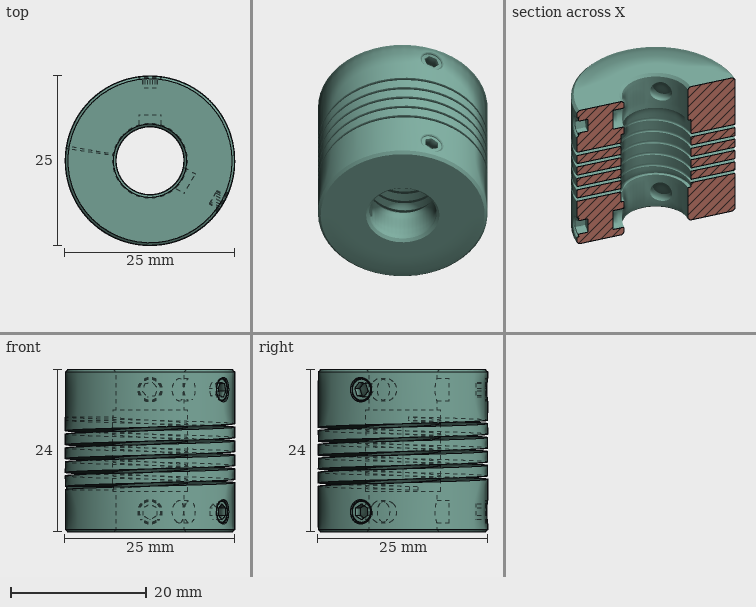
import cadquery as cq
import math

outer_diameter = 25.0
length = 24.0
bore_diameter = 10.0
edge_chamfer = 0.4

relief_diameter = 11.0
bore_depth = 6.0

slot_width = 0.5
slot_pitch = 2.05
slot_turns = 5.005
slot_start_height = 6.45
slot_start_angle = 169.9
radial_clearance = 0.25

screw_diameter = 3.3
mouth_chamfer = 0.15
screw_inner_radius = 6.75
screw_face_radius = 12.25
screw_edge_chamfer = 0.1
screw_end_distance = 3.0
screw_angles = (-30.0, 90.0)
socket_across_flats = 2.0
socket_depth = 1.5
lower_socket_turn = 0.0
upper_socket_turn = 20.0


def make_body():
    """Chamfered cylinder with a chamfered bore and an inner relief."""
    body = (
        cq.Workplane("XY")
        .circle(outer_diameter / 2)
        .circle(bore_diameter / 2)
        .extrude(length)
        .faces("<Z or >Z")
        .edges()
        .chamfer(edge_chamfer)
    )
    relief = (
        cq.Workplane("XY", origin=(0, 0, bore_depth))
        .circle(relief_diameter / 2)
        .extrude(length - 2 * bore_depth)
    )
    return body.cut(relief)


def make_helical_slot():
    """Rectangular section swept along a right-handed helix about Z."""
    inner_radius = relief_diameter / 2 - radial_clearance
    outer_radius = outer_diameter / 2 + radial_clearance
    middle_radius = (inner_radius + outer_radius) / 2
    path = cq.Wire.makeHelix(slot_pitch, slot_pitch * slot_turns, middle_radius)
    slot = (
        cq.Workplane("XZ")
        .center(middle_radius, 0)
        .rect(outer_radius - inner_radius, slot_width)
        .sweep(cq.Workplane(path), isFrenet=True)
    )
    return slot.rotate((0, 0, 0), (0, 0, 1), slot_start_angle).translate((0, 0, slot_start_height))


def screw_plane(distance, height, angle):
    """Plane across a screw axis, facing outwards, with its local Y along Z."""
    radians = math.radians(angle)
    outward = (math.cos(radians), math.sin(radians), 0)
    sideways = (-math.sin(radians), math.cos(radians), 0)
    origin = (distance * outward[0], distance * outward[1], height)
    return cq.Plane(origin=origin, xDir=sideways, normal=outward)


def drill_screw_hole(body, height, angle):
    """Radial hole from the bore out through the body, with a chamfered mouth."""
    hole = (
        cq.Workplane(screw_plane(0, height, angle))
        .circle(screw_diameter / 2)
        .extrude(outer_diameter)
    )
    mouth_centre = screw_plane(outer_diameter / 2, height, angle).origin.toTuple()
    return body.cut(hole).edges(cq.NearestToPointSelector(mouth_centre)).chamfer(mouth_chamfer)


def make_screw(height, angle, socket_turn):
    """Set screw sunk just below the surface, with a hexagon socket."""
    plane = screw_plane(screw_face_radius, height, angle)
    screw_length = screw_face_radius - screw_inner_radius
    screw = (
        cq.Workplane(plane)
        .circle(screw_diameter / 2)
        .extrude(-screw_length)
        .edges(cq.NearestToPointSelector(plane.origin.toTuple()))
        .chamfer(screw_edge_chamfer)
    )
    corner_diameter = socket_across_flats / math.cos(math.pi / 6)
    socket = (
        cq.Workplane(plane)
        .transformed(rotate=(0, 0, 90 + socket_turn))
        .polygon(6, corner_diameter)
        .extrude(-socket_depth)
    )
    return screw.cut(socket)


result = make_body()

screw_rows = (
    (screw_end_distance, lower_socket_turn),
    (length - screw_end_distance, upper_socket_turn),
)
for row_height, row_socket_turn in screw_rows:
    for screw_angle in screw_angles:
        result = drill_screw_hole(result, row_height, screw_angle)
        result = result.union(make_screw(row_height, screw_angle, row_socket_turn))

result = result.cut(make_helical_slot())